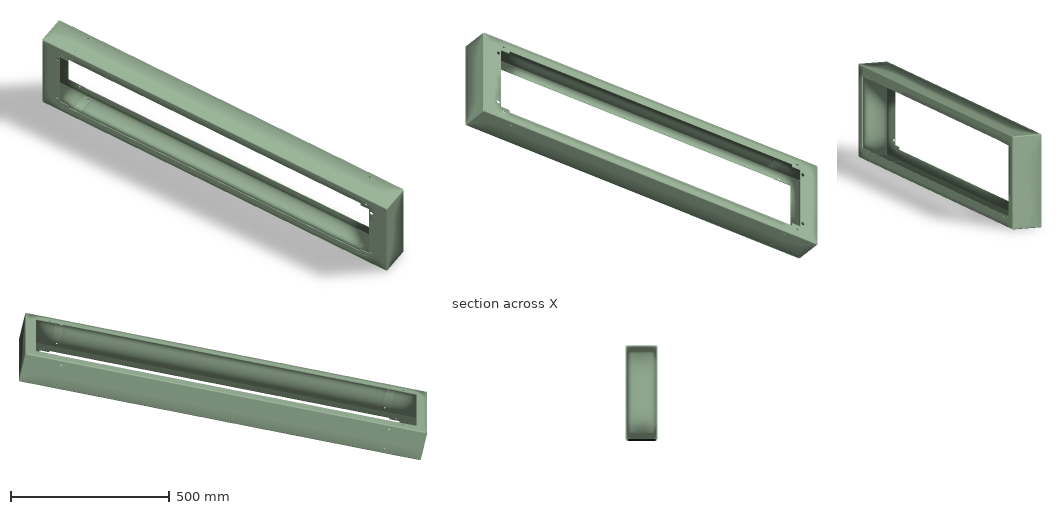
import cadquery as cq

length = 1300.0
depth = 100.0
height = 300.0

sheet = 2.0
bend_radius = 3.5
inner_bend_radius = bend_radius - sheet

end_length = 100.0
front_flange_width = 68.0
front_lobe_height = 43.0
back_flange_width = 35.0
back_lobe_height = 35.0

side_hole_diameter = 6.0
side_hole_from_end = 79.0
side_hole_from_top = 27.0
mount_hole_diameter = 12.0
mount_hole_from_end = 58.0
mount_hole_from_top = 57.0

rail_length = length - 2 * end_length
rail_height = 34.0

splice_length = 29.0
splice_width = 87.0

rail_hole_diameter = 5.0
rail_hole_from_end = 120.0
rail_hole_y = 34.0


def hole_pins(plane, diameter, half_x, half_across):
    """Four pins square to the plane, one in each corner, long enough to pass right through the frame."""
    return (
        cq.Workplane(plane)
        .rect(2 * half_x, 2 * half_across, forConstruction=True)
        .vertices()
        .circle(diameter / 2)
        .extrude(height, both=True)
    )


def box_along_x(x_min, x_size, y_size, z_size):
    """A box centred on the X axis that starts at x_min."""
    return cq.Workplane("XY").box(x_size, y_size, z_size).translate((x_min + x_size / 2, 0, 0))


side_hole_pins = hole_pins(
    "XZ", side_hole_diameter, length / 2 - side_hole_from_end, height / 2 - side_hole_from_top
)
mount_hole_pins = hole_pins(
    "XZ", mount_hole_diameter, length / 2 - mount_hole_from_end, height / 2 - mount_hole_from_top
)
rail_hole_pins = hole_pins(
    "XY", rail_hole_diameter, length / 2 - rail_hole_from_end, rail_hole_y
)


def flange_opening(flange_width, lobe_height, side):
    """The space between the lobes of one flange; side is -1 for the front and 1 for the back."""
    opening = box_along_x(
        flange_width - length / 2,
        end_length - flange_width,
        depth,
        height - 2 * lobe_height,
    )
    return opening.translate((0, side * depth / 2, 0))


def corner_reliefs():
    """Cubes that clear the corners where three bends of the left end frame meet."""
    return (
        cq.Workplane("YZ", origin=(-length / 2, 0, 0))
        .rect(depth, height, forConstruction=True)
        .vertices()
        .rect(2 * bend_radius, 2 * bend_radius)
        .extrude(bend_radius)
    )


def make_left_end_frame():
    outside = box_along_x(-length / 2, end_length, depth, height)
    outside = outside.edges("|X or <X").fillet(bend_radius)
    inside = box_along_x(
        sheet - length / 2, end_length - sheet, depth - 2 * sheet, height - 2 * sheet
    )
    inside = inside.edges("|X or <X").fillet(inner_bend_radius)
    return (
        outside.cut(inside)
        .cut(flange_opening(front_flange_width, front_lobe_height, -1))
        .cut(flange_opening(back_flange_width, back_lobe_height, 1))
        .cut(corner_reliefs())
        .cut(side_hole_pins)
        .cut(mount_hole_pins)
    )


def make_top_rail():
    outside = cq.Workplane("XY").box(rail_length, depth, height)
    outside = outside.edges("|X").fillet(bend_radius)
    inside = cq.Workplane("XY").box(rail_length, depth - 2 * sheet, height - 2 * sheet)
    inside = inside.edges("|X").fillet(inner_bend_radius)
    rail_zone = (
        cq.Workplane("XY")
        .box(rail_length, depth, rail_height)
        .translate((0, 0, (height - rail_height) / 2))
    )
    return outside.cut(inside).intersect(rail_zone).cut(rail_hole_pins)


def make_top_left_splice_plate():
    plate = box_along_x(-rail_length / 2, splice_length, splice_width, sheet)
    return plate.translate((0, 0, height / 2 - 1.5 * sheet)).cut(rail_hole_pins)


left_end_frame = make_left_end_frame()
end_frames = [left_end_frame, left_end_frame.mirror("YZ")]

top_rail = make_top_rail()
rails = [top_rail, top_rail.mirror("XY")]

top_left_splice_plate = make_top_left_splice_plate()
splice_plates = []
for plate in (top_left_splice_plate, top_left_splice_plate.mirror("YZ")):
    splice_plates.append(plate)
    splice_plates.append(plate.mirror("XY"))

result = cq.Compound.makeCompound([body.val() for body in end_frames + rails + splice_plates])